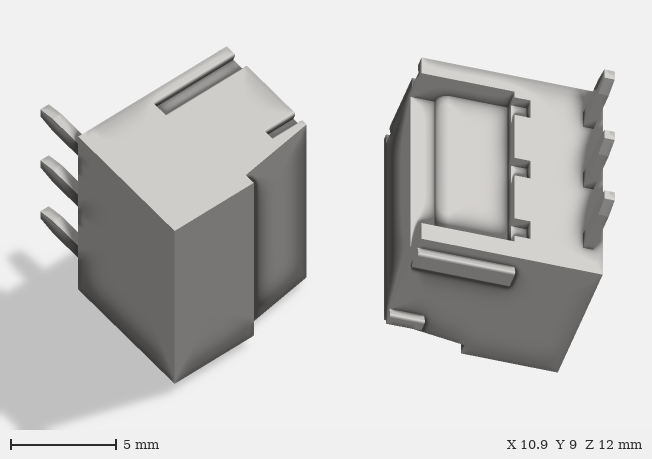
import cadquery as cq

body_x = 7.4
body_y = 9.0
pole_count = 3
pitch = 3.81
body_z = pole_count * pitch
overall_z = 11.98

shoulder_y = 4.79
shoulder_x = 6.79
back_x = 6.13

pin_length = 3.5
pin_height = 0.91
pin_tip_height = 0.52
pin_taper = 0.98
pin_thickness = 0.52
pin_y = 0.72

wall = 1.0
pocket_y = 4.37
pocket_shallow = 1.2
pocket_deep = 1.8
step_radius = pocket_deep - pocket_shallow
deep_length = 1.19
step_y = body_y - deep_length

notch_y = 3.59
notch_depth = 0.6
notch_height = 1.1

dovetail_height = overall_z - body_z
dovetail_flare = 0.18
dovetail_round = 0.12
groove_clearance = 0.1
dovetails = [(1.05, 0.77, 4.91), (5.5, 0.41, 1.82)]

pole_heights = [(i + 0.5) * pitch for i in range(pole_count)]


def housing():
    outline = [
        (0, 0),
        (body_x, 0),
        (body_x, shoulder_y),
        (shoulder_x, shoulder_y),
        (back_x, body_y),
        (0, body_y),
    ]
    return cq.Workplane("XY").polyline(outline).close().extrude(body_z)


def pocket():
    return (
        cq.Workplane("XY", origin=(0, 0, wall))
        .moveTo(0, pocket_y)
        .lineTo(pocket_shallow, pocket_y)
        .lineTo(pocket_shallow, step_y - step_radius)
        .radiusArc((pocket_deep, step_y), step_radius)
        .lineTo(pocket_deep, body_y)
        .lineTo(0, body_y)
        .close()
        .extrude(body_z - 2 * wall)
    )


def notch(z):
    return cq.Workplane("XY").box(
        notch_depth, pocket_y - notch_y, notch_height, centered=(False, False, True)
    ).translate((0, notch_y, z))


def pin(z):
    half = pin_height / 2
    half_tip = pin_tip_height / 2
    outline = [
        (0, -half),
        (0, half),
        (pin_taper - pin_length, half),
        (-pin_length, half_tip),
        (-pin_length, -half_tip),
        (pin_taper - pin_length, -half),
    ]
    return (
        cq.Workplane("XZ", origin=(0, pin_y, z))
        .polyline(outline)
        .close()
        .extrude(pin_thickness / 2, both=True)
    )


def dovetail(x, neck, length, z):
    """Dovetail bar hanging below height z and running forward from the back face."""
    half_neck = neck / 2
    half_base = half_neck + dovetail_flare
    outline = [
        (-half_neck, 0),
        (half_neck, 0),
        (half_base, -dovetail_height),
        (-half_base, -dovetail_height),
    ]
    return cq.Workplane("XZ", origin=(x, body_y, z)).polyline(outline).close().extrude(length)


def groove_lips(x, neck, length):
    """Select the two long top edges of a groove."""
    reach = neck / 2 + dovetail_round / 2
    margin = dovetail_round / 2
    return cq.selectors.BoxSelector(
        (x - reach, body_y - length - margin, body_z - margin),
        (x + reach, body_y + margin, body_z + margin),
    )


result = housing().cut(pocket())
for height in pole_heights:
    result = result.cut(notch(height)).union(pin(height))

for centre, neck_width, groove_length in dovetails:
    groove = dovetail(centre, neck_width, groove_length, body_z)
    lips = groove_lips(centre, neck_width, groove_length)
    result = result.cut(groove).edges(lips).edges("|Y").fillet(dovetail_round)

    rib = dovetail(centre, neck_width, groove_length - groove_clearance, 0)
    result = result.union(rib.faces("<Z").edges("|Y").fillet(dovetail_round))